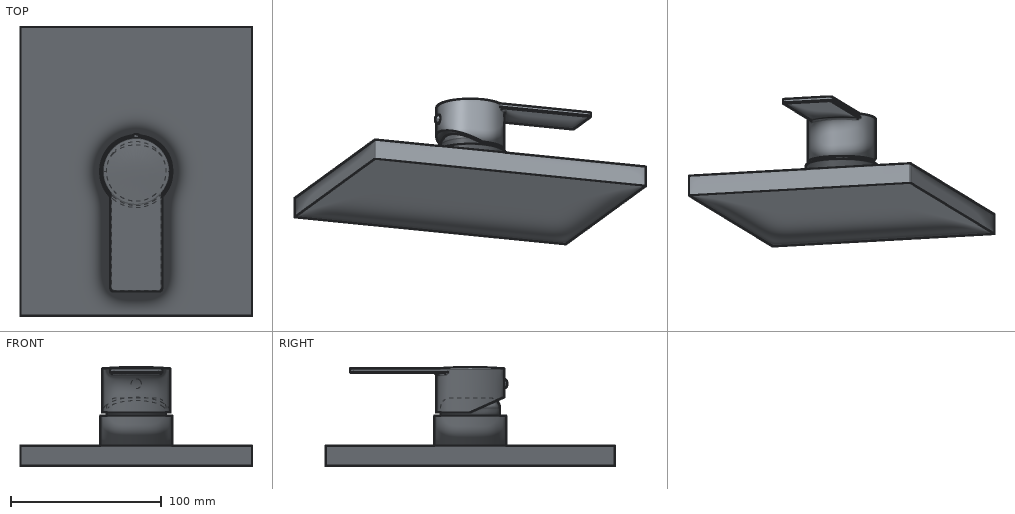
import cadquery as cq
import math

PLATE_WIDTH = 154.0
PLATE_LENGTH = 192.0
PLATE_THICKNESS = 13.5
PLATE_EDGE_RADIUS = 0.5

SLEEVE_RADIUS = 24.0
SLEEVE_TOP = 33.5
SLEEVE_EDGE_RADIUS = 0.8
NECK_RADIUS = 19.8
NECK_TOP = 45.1
NECK_EDGE_RADIUS = 6.7

TOTAL_HEIGHT = 65.7
DOME_HEIGHT = 0.8
BARREL_RADIUS = 22.7
RIM_RADIUS = 0.8
BARREL_BOTTOM = 35.5
BARREL_TOP = TOTAL_HEIGHT - DOME_HEIGHT
BACK_CUT_ANGLE = 24.0

CAP_RADIUS = 3.3
CAP_HEIGHT = 2.1
CAP_Z = 54.5

LEVER_WIDTH = 34.5
LEVER_REACH = 79.9
LEVER_THICKNESS = 3.3
LEVER_CORNER_RADIUS = 2.5
LEVER_BOTTOM_CHAMFER = 0.8
LEVER_ROOT_RADIUS = 1.5


def make_neck():
    """Cylinder rising through the sleeve, with a generously rounded top edge."""
    return (
        cq.Workplane("XY")
        .circle(NECK_RADIUS)
        .extrude(NECK_TOP)
        .faces(">Z")
        .edges()
        .fillet(NECK_EDGE_RADIUS)
    )


def make_base():
    """Wall plate with the sleeve and the neck in one piece."""
    plate = (
        cq.Workplane("XY")
        .box(PLATE_WIDTH, PLATE_LENGTH, PLATE_THICKNESS, centered=(True, True, False))
        .edges("|Z or >Z")
        .fillet(PLATE_EDGE_RADIUS)
    )
    sleeve = (
        cq.Workplane("XY")
        .circle(SLEEVE_RADIUS)
        .extrude(SLEEVE_TOP)
        .faces(">Z")
        .edges()
        .fillet(SLEEVE_EDGE_RADIUS)
    )
    return plate.union(sleeve).union(make_neck())


def make_barrel():
    """Plain round barrel."""
    return (
        cq.Workplane("XY")
        .workplane(offset=BARREL_BOTTOM)
        .circle(BARREL_RADIUS)
        .extrude(BARREL_TOP - BARREL_BOTTOM)
    )


def make_dome():
    """Shallow spherical crown inside the barrel rim."""
    dome_radius = BARREL_RADIUS - RIM_RADIUS
    sphere_radius = (dome_radius**2 + DOME_HEIGHT**2) / (2 * DOME_HEIGHT)
    half_angle = math.asin(dome_radius / sphere_radius) / 2
    arc_middle = (
        sphere_radius * math.sin(half_angle),
        TOTAL_HEIGHT - sphere_radius * (1 - math.cos(half_angle)),
    )
    return (
        cq.Workplane("XZ")
        .moveTo(0, BARREL_TOP)
        .lineTo(dome_radius, BARREL_TOP)
        .threePointArc(arc_middle, (0, TOTAL_HEIGHT))
        .close()
        .revolve(360, (0, 0), (0, 1))
    )


def make_lever():
    """Flat bar reaching from the barrel axis toward -Y."""
    return (
        cq.Workplane("XY")
        .workplane(offset=BARREL_TOP - LEVER_THICKNESS)
        .center(0, -LEVER_REACH / 2)
        .rect(LEVER_WIDTH, LEVER_REACH)
        .extrude(LEVER_THICKNESS)
        .edges("|Z and <Y")
        .fillet(LEVER_CORNER_RADIUS)
        .faces("<Z")
        .edges("not >Y")
        .chamfer(LEVER_BOTTOM_CHAMFER)
    )


def join_barrel_and_lever():
    """Barrel and lever with a flush top, a filleted joint and one rounded rim around both."""
    root_depth = math.sqrt(BARREL_RADIUS**2 - (LEVER_WIDTH / 2) ** 2)
    margin = 0.2
    root_edges = cq.selectors.BoxSelector(
        (-BARREL_RADIUS, -BARREL_RADIUS, BARREL_TOP - LEVER_THICKNESS - margin),
        (BARREL_RADIUS, margin - root_depth, BARREL_TOP - margin),
    )
    return (
        make_barrel()
        .union(make_lever())
        .edges(root_edges)
        .fillet(LEVER_ROOT_RADIUS)
        .faces(">Z")
        .edges()
        .fillet(RIM_RADIUS)
    )


def make_cap():
    """Domed screw cap, sunk into the barrel wall for a clean joint."""
    sphere_radius = (CAP_RADIUS**2 + CAP_HEIGHT**2) / (2 * CAP_HEIGHT)
    center_y = BARREL_RADIUS + CAP_HEIGHT - sphere_radius
    return cq.Workplane("XY").sphere(sphere_radius).translate((0, center_y, CAP_Z))


def make_back_cut():
    """Wedge below the barrel's rear half, which lets the lever swing up."""
    wedge_length = 2 * BARREL_RADIUS
    wedge_height = wedge_length * math.tan(math.radians(BACK_CUT_ANGLE))
    return (
        cq.Workplane("YZ")
        .moveTo(0, BARREL_BOTTOM)
        .lineTo(wedge_length, BARREL_BOTTOM)
        .lineTo(wedge_length, BARREL_BOTTOM + wedge_height)
        .close()
        .extrude(2 * BARREL_RADIUS, both=True)
    )


def make_handle():
    """Barrel with dome, lever and cap, hollowed to seat on the neck."""
    handle = join_barrel_and_lever().union(make_dome()).union(make_cap())
    return handle.cut(make_back_cut()).cut(make_neck())


base = make_base()
handle = make_handle()

result = cq.Compound.makeCompound([base.val(), handle.val()])